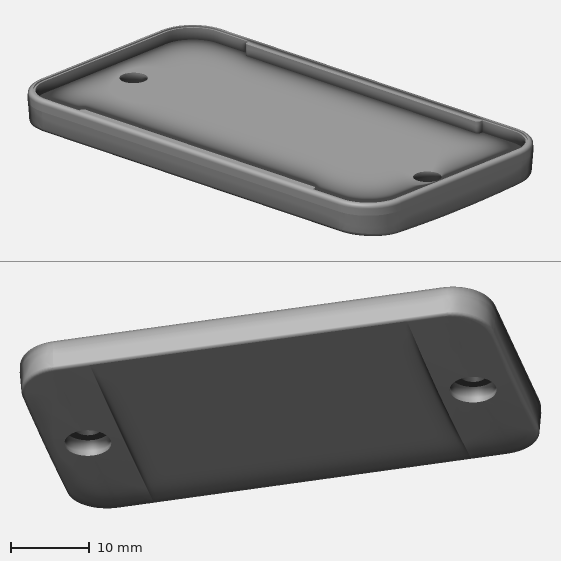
import cadquery as cq

length = 62.0
width = 33.9
height = 5.0
corner_radius = 5.6

parting_depth = 1.5
upper_draft = 1.5
lower_draft = 4.5
rim_fillet = 0.55
bottom_fillet = 0.5

crown_rise = 0.7
relief_length = 41.5

rim_width = 0.75
wall_width = 1.0
ledge_depth = 0.2
recess_depth = 1.8

rail_length = 40.05
rail_reach = 1.8
rail_corner = 0.5

hole_diameter = 3.6
hole_spacing = 50.35
counterbore_diameter = 5.95
seat_thickness = 0.85

parting_z = height - parting_depth
floor_z = height - recess_depth
ledge_z = height - ledge_depth


def rounded_outline(inset, z):
    """Closed plan outline, moved inward from the widest outline and placed at height z."""
    return (
        cq.Sketch()
        .rect(length - 2 * inset, width - 2 * inset)
        .vertices()
        .fillet(corner_radius - inset)
        .moved(cq.Location(cq.Vector(0, 0, z)))
    )


def make_crown():
    """Bar along X whose underside is an arc, lowest on the centre line."""
    half_width = width / 2
    profile = (
        cq.Workplane("YZ")
        .moveTo(-half_width, crown_rise)
        .threePointArc((0, 0), (half_width, crown_rise))
        .lineTo(half_width, height)
        .lineTo(-half_width, height)
        .close()
    )
    return profile.extrude(length / 2, both=True)


def make_body():
    parting_outline = cq.Workplane().placeSketch(rounded_outline(0, parting_z))
    upper = parting_outline.extrude(parting_depth, taper=upper_draft)
    upper = upper.faces(">Z").edges().fillet(rim_fillet)
    lower = parting_outline.extrude(-parting_z, taper=lower_draft)
    lower = lower.intersect(make_crown())
    lower = lower.faces("<Z").edges().fillet(bottom_fillet)
    return upper.union(lower)


def make_relief():
    """Block that flattens the middle of the crown."""
    return cq.Workplane().box(relief_length, width, crown_rise, centered=(True, True, False))


def make_recess():
    """Rim opening and the deeper pocket, leaving the two rails standing."""
    opening = cq.Workplane().placeSketch(rounded_outline(rim_width, ledge_z)).extrude(ledge_depth)
    pocket_depth = recess_depth - ledge_depth
    pocket = cq.Workplane().placeSketch(rounded_outline(wall_width, floor_z)).extrude(pocket_depth)
    for side in (-1, 1):
        rail = (
            cq.Workplane(origin=(0, side * width / 2, floor_z))
            .rect(rail_length, 2 * rail_reach)
            .extrude(pocket_depth)
            .edges("|Z")
            .fillet(rail_corner)
        )
        pocket = pocket.cut(rail)
    return opening.union(pocket)


def make_holes():
    half_spacing = hole_spacing / 2
    centres = cq.Workplane().pushPoints([(-half_spacing, 0), (half_spacing, 0)])
    through = centres.circle(hole_diameter / 2).extrude(height)
    counterbore = centres.circle(counterbore_diameter / 2).extrude(floor_z - seat_thickness)
    return through.union(counterbore)


result = make_body().cut(make_relief()).cut(make_recess()).cut(make_holes())